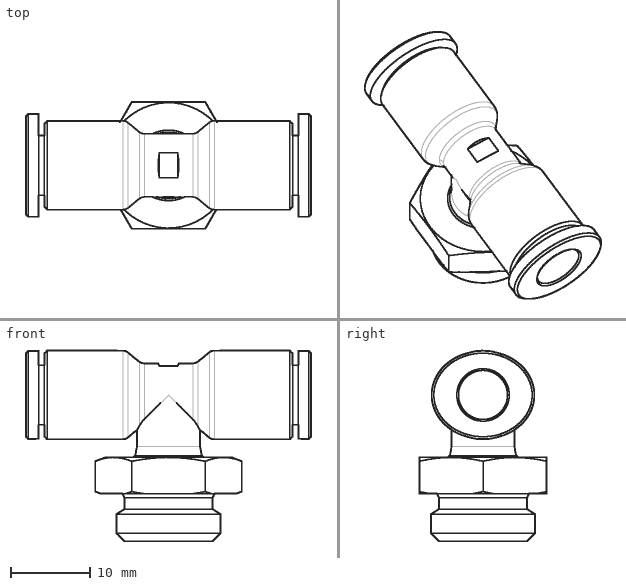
import cadquery as cq
import math


run_length = 35.9
half_run = run_length / 2
overall_height = 24.0
release_width = 12.95
release_height = 11.1
release_thickness = 1.6
release_chamfer = 0.3
collar_radius = 3.77
socket_radius = 5.6
socket_end = 15.6
socket_chamfer = 0.35
shoulder_outer = 5.4
shoulder_inner = 3.4
shoulder_blend = 1.0

waist_radius = 4.0
flat_height = 3.65
flat_floor_length = 2.3
flat_wall_slope = 25

bore_radius = 3.1
bore_depth = 10.77
bore_chamfer = 0.2

stem_radius = waist_radius
taper_start = 6.45
taper_end = 7.65
taper_radius = 4.2
foot_radius = 4.45
hex_top = 7.83
hex_bottom = 12.42
hex_across_flats = 16.0
hex_corner_radius = hex_across_flats / math.sqrt(3)
hex_top_face_radius = 7.9
hex_bottom_face_radius = 8.58
hex_chamfer_angle = 21
rim_clearance = 0.35

relief_flare_radius = 5.8
relief_radius = 5.55
relief_start = 12.92
relief_end = 14.35
thread_radius = 6.57
thread_start = 15.0
tip_radius = 5.55
tip_chamfer = thread_radius - tip_radius
branch_end = overall_height - socket_radius


def run_body():
    """Sockets and waist, revolved about X, with rounded shoulder corners."""
    half = [
        (socket_end, socket_radius - socket_chamfer),
        (socket_end - socket_chamfer, socket_radius),
        (shoulder_outer, socket_radius),
        (shoulder_inner, waist_radius),
    ]
    other_half = [(-x, r) for x, r in reversed(half)]
    profile = [(socket_end, 0)] + half + other_half + [(-socket_end, 0)]
    body = cq.Workplane("XY").polyline(profile).close().revolve(360, (0, 0, 0), (1, 0, 0))
    corner_limit = shoulder_outer + socket_chamfer
    middle = cq.selectors.BoxSelector(
        (-corner_limit, -run_length, -run_length), (corner_limit, run_length, run_length)
    )
    corners = body.edges("%CIRCLE").edges(middle)
    return corners.fillet(shoulder_blend)


def release_ring():
    """Oval release ring and its round collar at the +X end."""
    ring = (
        cq.Workplane("YZ", origin=(half_run - release_thickness, 0, 0))
        .ellipse(release_width / 2, release_height / 2)
        .extrude(release_thickness)
        .faces(">X")
        .chamfer(release_chamfer)
    )
    collar = (
        cq.Workplane("YZ", origin=(socket_end, 0, 0))
        .circle(collar_radius)
        .extrude(half_run - release_thickness - socket_end)
    )
    return ring.union(collar)


def tube_bore():
    """Blind tube bore with a chamfered mouth at the +X end."""
    profile = [
        (half_run, 0),
        (half_run, bore_radius + bore_chamfer),
        (half_run - bore_chamfer, bore_radius),
        (half_run - bore_depth, bore_radius),
        (half_run - bore_depth, 0),
    ]
    return cq.Workplane("XY").polyline(profile).close().revolve(360, (0, 0, 0), (1, 0, 0))


def marking_flat():
    """Cutter for the flat on top of the waist, with sloping end walls."""
    cut_height = socket_radius - flat_height
    floor = flat_floor_length / 2
    opening = floor + cut_height * math.tan(math.radians(flat_wall_slope))
    return (
        cq.Workplane("XZ")
        .polyline([
            (-floor, flat_height),
            (floor, flat_height),
            (opening, socket_radius),
            (-opening, socket_radius),
        ])
        .close()
        .extrude(waist_radius, both=True)
    )


def turned(profile):
    """Solid of revolution about the branch axis from (radius, depth) points."""
    points = [(radius, -depth) for radius, depth in profile]
    return cq.Workplane("XZ").polyline(points).close().revolve(360, (0, 0, 0), (0, 1, 0))


def branch_stem():
    """Plain stem that tapers out to a small foot on the hexagon."""
    return turned([
        (0, 0),
        (stem_radius, 0),
        (stem_radius, taper_start),
        (taper_radius, taper_end),
        (foot_radius, hex_top),
        (0, hex_top),
    ])


def hexagon():
    """Hexagon with flats facing Y and both rims turned down at the corners."""
    slope = math.tan(math.radians(hex_chamfer_angle))
    prism = (
        cq.Workplane("XY", origin=(0, 0, -hex_bottom))
        .polygon(6, 2 * hex_corner_radius)
        .extrude(hex_bottom - hex_top)
    )
    rim_radius = hex_corner_radius + rim_clearance
    envelope = turned([
        (0, hex_top),
        (hex_top_face_radius, hex_top),
        (rim_radius, hex_top + (rim_radius - hex_top_face_radius) * slope),
        (rim_radius, hex_bottom - (rim_radius - hex_bottom_face_radius) * slope),
        (hex_bottom_face_radius, hex_bottom),
        (0, hex_bottom),
    ])
    return prism.intersect(envelope)


def threaded_end():
    """Relief neck and plain thread cylinder with a chamfered tip."""
    return turned([
        (0, hex_bottom),
        (relief_flare_radius, hex_bottom),
        (relief_radius, relief_start),
        (relief_radius, relief_end),
        (thread_radius, thread_start),
        (thread_radius, branch_end - tip_chamfer),
        (tip_radius, branch_end),
        (0, branch_end),
    ])


result = run_body().union(branch_stem()).cut(marking_flat())
result = result.union(hexagon()).union(threaded_end())
for turn in (0, 180):
    result = result.union(release_ring().rotate((0, 0, 0), (0, 0, 1), turn))
    result = result.cut(tube_bore().rotate((0, 0, 0), (0, 0, 1), turn))